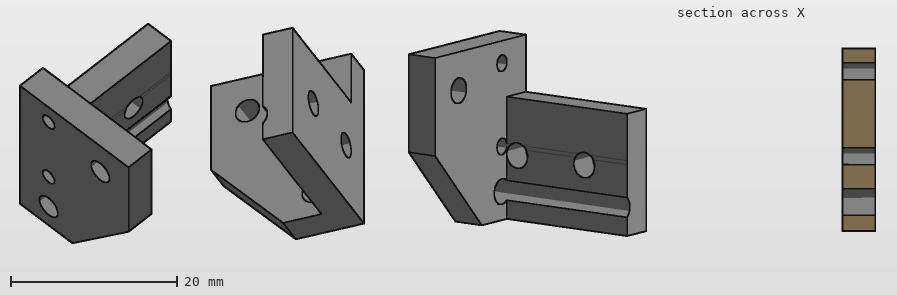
import cadquery as cq

width = 18.35
depth = 22.0
height = 22.0

plate_thickness = 3.95
bottom_edge_length = 8.9
right_edge_start = 9.99

wall_thickness = 3.9
wall_height = 15.0

small_diameter = 2.0
large_diameter = 3.1
column_x = 4.86
small_hole_points = [(column_x, 9.05), (column_x, 19.25)]
large_hole_points = [(column_x, 3.52), (13.57, 17.25)]
wall_hole_z = 7.96
wall_hole_points = [(5.52, wall_hole_z), (15.58, wall_hole_z)]


def plate_holes(points, diameter):
    """Cylinders running along Y through the whole depth, at (x, z) points."""
    return (
        cq.Workplane("XZ")
        .pushPoints(points)
        .circle(diameter / 2)
        .extrude(-depth)
    )


def wall_holes(points, diameter):
    """Cylinders running along X through the side wall, at (y, z) points."""
    return (
        cq.Workplane("YZ")
        .pushPoints(points)
        .circle(diameter / 2)
        .extrude(wall_thickness)
    )


front_plate = (
    cq.Workplane("XZ")
    .moveTo(0, 0)
    .lineTo(bottom_edge_length, 0)
    .lineTo(width, right_edge_start)
    .lineTo(width, height)
    .lineTo(0, height)
    .close()
    .extrude(-plate_thickness)
)

side_wall = cq.Workplane("XY").box(wall_thickness, depth, wall_height, centered=False)

result = (
    front_plate.union(side_wall)
    .cut(plate_holes(small_hole_points, small_diameter))
    .cut(plate_holes(large_hole_points, large_diameter))
    .cut(wall_holes(wall_hole_points, large_diameter))
)